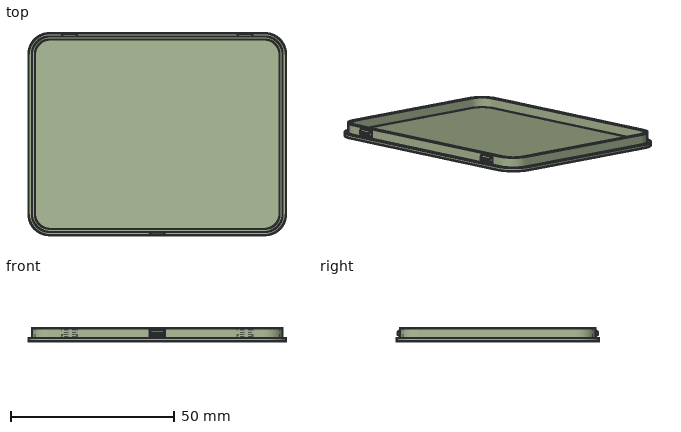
import cadquery as cq

length = 79.0
width = 62.0
height = 4.0
corner_radius = 6.55
plate_thickness = 1.0

rim_inset = 1.0
rim_thickness = 0.95

tab_root_length = 4.8
tab_root_height = 2.0
tab_tip_length = 3.95
tab_tip_height = 0.6
tab_reach = 0.8
tab_center_z = 2.45
rear_tab_offset = 26.9


def rounded_block(inset, bottom, top):
    """Rounded rectangular block, inset evenly from the plate outline."""
    return (
        cq.Workplane("XY", origin=(0, 0, bottom))
        .rect(length - 2 * inset, width - 2 * inset)
        .extrude(top - bottom)
        .edges("|Z")
        .fillet(corner_radius - inset)
    )


def snap_tab(center_x, side):
    """Tapered tab on the front (side = -1) or rear (side = 1) of the rim."""
    rim_face_y = side * (width / 2 - rim_inset)
    plane = cq.Plane(
        origin=(center_x, rim_face_y, tab_center_z),
        xDir=(1, 0, 0),
        normal=(0, side, 0),
    )
    return (
        cq.Workplane(plane)
        .rect(tab_root_length, tab_root_height)
        .workplane(offset=tab_reach)
        .rect(tab_tip_length, tab_tip_height)
        .loft(ruled=True)
    )


plate = rounded_block(0, 0, plate_thickness)
rim = rounded_block(rim_inset, 0, height)
recess = rounded_block(rim_inset + rim_thickness, plate_thickness, height)
result = plate.union(rim).cut(recess)

for center_x, side in [(0, -1), (-rear_tab_offset, 1), (rear_tab_offset, 1)]:
    result = result.union(snap_tab(center_x, side))